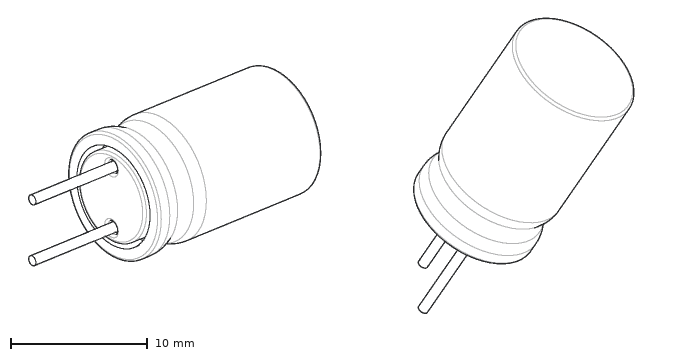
import cadquery as cq
import math

total_length = 24.0
can_diameter = 10.0
can_length = 16.0
can_edge_radius = 0.2

groove_center = 13.18
groove_half_width = 1.8
groove_floor_half_width = 0.8
groove_depth = 0.48

rim_inner_diameter = 8.0
plug_diameter = 7.2
plug_protrusion = 0.2
plug_edge_radius = 0.2
recess_depth = 2.05

lead_diameter = 0.8
lead_pitch = 5.0
lead_hole_diameter = 1.1
lead_hole_depth = 0.5
lead_hole_edge_radius = 0.2

can_radius = can_diameter / 2
rim_y = -can_length
plug_face_y = rim_y - plug_protrusion
lead_tip_y = -total_length


def cylinder(diameter, start_y, end_y, z=0):
    """Cylinder along Y running from start_y down to end_y."""
    plane = cq.Workplane("XZ", origin=(0, start_y, z))
    return plane.circle(diameter / 2).extrude(start_y - end_y)


def make_groove_cutter():
    """Ring with a smooth profile: a hollow arc blending into the can through two crown arcs."""
    turn = 2 * math.atan(groove_depth / groove_half_width)
    floor_radius = groove_floor_half_width / math.sin(turn)
    crown_radius = (groove_half_width - groove_floor_half_width) / math.sin(turn)
    floor_r = can_radius - groove_depth
    joint_r = floor_r + floor_radius * (1 - math.cos(turn))
    crown_mid_r = can_radius - crown_radius * (1 - math.cos(turn / 2))
    crown_mid_offset = groove_half_width - crown_radius * math.sin(turn / 2)
    outside_r = can_radius + groove_depth

    profile = (
        cq.Workplane("XY", origin=(0, -groove_center, 0))
        .moveTo(can_radius, groove_half_width)
        .threePointArc((crown_mid_r, crown_mid_offset), (joint_r, groove_floor_half_width))
        .threePointArc((floor_r, 0), (joint_r, -groove_floor_half_width))
        .threePointArc((crown_mid_r, -crown_mid_offset), (can_radius, -groove_half_width))
        .lineTo(outside_r, -groove_half_width)
        .lineTo(outside_r, groove_half_width)
        .close()
    )
    return profile.revolve(360, (0, 0, 0), (0, 1, 0))


def make_can():
    can = cylinder(can_diameter, 0, rim_y).edges().fillet(can_edge_radius)
    recess = cylinder(rim_inner_diameter, rim_y + recess_depth, rim_y)
    return can.cut(make_groove_cutter()).cut(recess)


def make_plug(lead_positions):
    """Plug with a rounded face edge and one round-mouthed hole per lead."""
    plug = cylinder(plug_diameter, -groove_center, plug_face_y)
    plug = plug.faces("<Y").edges().fillet(plug_edge_radius)
    hole_floor_y = plug_face_y + lead_hole_depth
    for z in lead_positions:
        plug = plug.cut(cylinder(lead_hole_diameter, hole_floor_y, plug_face_y, z))
    mouths = plug.faces("<Y").edges(cq.selectors.RadiusNthSelector(0))
    return mouths.fillet(lead_hole_edge_radius)


lead_positions = (-lead_pitch / 2, lead_pitch / 2)

result = make_can().union(make_plug(lead_positions))
for z in lead_positions:
    result = result.union(cylinder(lead_diameter, -groove_center, lead_tip_y, z))